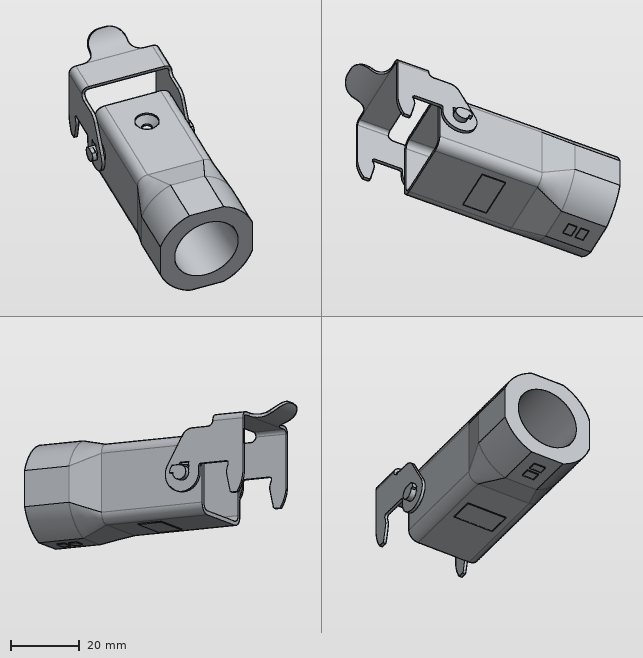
import cadquery as cq
import math


housing_front = 23.5
taper_start = 56.6
taper_end = 66.0
housing_rear = 80.6
front_half = 12.0
front_corner_radius = 3.2
rear_half = 14.5
rear_round_radius = 15.5
wall = 1.2
cavity_half = front_half - wall
cavity_corner_radius = front_corner_radius - wall
bore_radius = 10.0

dimple_x = 34.5
dimple_mouth_radius = 3.55
dimple_hole_radius = 1.6
dimple_rim_depth = 0.6
dimple_floor = 8.9
dimple_outer_top_radius = 4.6
dimple_outer_floor_radius = 2.9

pad_height = 0.3
pads = [
    (39.8, 47.4, 6.5, front_half),
    (70.0, 72.7, 1.9, rear_half),
    (73.9, 76.5, 1.9, rear_half),
]

pivot_x = 29.0
pin_radius = 2.2
overall_width = 32.0
pin_tip = overall_width / 2
key_radius = 3.15
key_thickness = 1.3
collar_outer_radius = 2.7
collar_waist_radius = 2.3
collar_base_radius = 2.9
collar_waist_y = 12.65
base_overlap = 0.4

sheet = 1.0
lever_half = 14.2
lever_inner = lever_half - sheet
bend_radius = 2.2
lever_front = 9.0
bridge_rear = 18.95
lever_top = 16.8
lever_bottom = -7.2
shoulder_z = 13.1
shoulder_radius = 3.7
step_radius = 1.6
eye_radius = 5.5
eye_slope = math.radians(30)
slot_top = 2.3
slot_corner_radius = 0.8
key_hole_top = 3.2
key_hole_flat_end = 0.5

tab_half = 6.0
tab_root_radius = 3.95
tab_tip_radius = 5.0
tab_outer_radius = 11.1


def rounded_square(x, half, radius):
    """Square with rounded corners in a plane across the X axis."""
    flat = half - radius
    mid = flat + radius * math.sqrt(0.5)
    return (
        cq.Workplane("YZ", origin=(x, 0, 0))
        .moveTo(-flat, half)
        .lineTo(flat, half)
        .threePointArc((mid, mid), (half, flat))
        .lineTo(half, -flat)
        .threePointArc((mid, -mid), (flat, -half))
        .lineTo(-flat, -half)
        .threePointArc((-mid, -mid), (-half, -flat))
        .lineTo(-half, flat)
        .threePointArc((-mid, mid), (-flat, half))
        .close()
    )


def flatted_circle(x, half, radius):
    """Circle with four flats in a plane across the X axis."""
    flat = math.sqrt(radius**2 - half**2)
    mid = radius * math.sqrt(0.5)
    return (
        cq.Workplane("YZ", origin=(x, 0, 0))
        .moveTo(-flat, half)
        .lineTo(flat, half)
        .threePointArc((mid, mid), (half, flat))
        .lineTo(half, -flat)
        .threePointArc((mid, -mid), (flat, -half))
        .lineTo(-flat, -half)
        .threePointArc((-mid, -mid), (-half, -flat))
        .lineTo(-half, flat)
        .threePointArc((-mid, mid), (-flat, half))
        .close()
    )


def make_housing():
    front = rounded_square(housing_front, front_half, front_corner_radius)
    front = front.extrude(taper_start - housing_front)
    rear = flatted_circle(taper_end, rear_half, rear_round_radius)
    rear = rear.extrude(housing_rear - taper_end)

    small_end = rounded_square(taper_start, front_half, front_corner_radius).wire().val()
    large_end = flatted_circle(taper_end, rear_half, rear_round_radius).wire().val()
    taper = cq.Workplane(cq.Solid.makeLoft([small_end, large_end], True))

    cavity = rounded_square(housing_front, cavity_half, cavity_corner_radius)
    cavity = cavity.extrude(taper_start - housing_front)
    bore = cq.Workplane("YZ", origin=(housing_front, 0, 0)).circle(bore_radius)
    bore = bore.extrude(housing_rear - housing_front)
    return front.union(taper).union(rear).cut(cavity).cut(bore)


def revolved(profile, x):
    """Turn a (radius, z) profile about the vertical line through x."""
    outline = cq.Workplane("XZ", origin=(x, 0, 0)).polyline(profile).close()
    return outline.revolve(360, (0, 0, 0), (0, 1, 0))


def add_dimple(housing):
    cone = revolved(
        [
            (0, dimple_floor),
            (dimple_outer_floor_radius, dimple_floor),
            (dimple_outer_top_radius, cavity_half),
            (dimple_outer_top_radius, front_half),
            (0, front_half),
        ],
        dimple_x,
    )
    cone_mouth = front_half - dimple_rim_depth
    cone_foot = cone_mouth - (dimple_mouth_radius - dimple_hole_radius)
    hole = revolved(
        [
            (0, dimple_floor),
            (dimple_hole_radius, dimple_floor),
            (dimple_hole_radius, cone_foot),
            (dimple_mouth_radius, cone_mouth),
            (dimple_mouth_radius, front_half),
            (0, front_half),
        ],
        dimple_x,
    )
    return housing.union(cone).cut(hole)


def make_pad(start, end, half_width, level):
    """Flat pad standing out of the underside, rooted halfway into the wall."""
    root = wall / 2
    size = (end - start, 2 * half_width, root + pad_height)
    pad = cq.Workplane("XY").box(*size, centered=(False, True, False))
    return pad.translate((start, 0, -level - pad_height))


def make_side_plates():
    """Both lever legs as one prism spanning the full lever width."""
    slope_x = pivot_x + eye_radius * math.cos(eye_slope)
    slope_z = eye_radius * math.sin(eye_slope)
    shoulder_x = slope_x - (shoulder_z - slope_z) * math.tan(eye_slope)
    trim = shoulder_radius * math.tan((math.pi / 2 - eye_slope) / 2)
    shoulder_end = (
        shoulder_x + trim * math.sin(eye_slope),
        shoulder_z - trim * math.cos(eye_slope),
    )
    shoulder_mid = (
        shoulder_x - trim + shoulder_radius * math.sin(eye_slope),
        shoulder_z - shoulder_radius * (1 - math.cos(eye_slope)),
    )
    step_mid = step_radius * (1 - math.sqrt(0.5))
    slot_mid = slot_corner_radius * (1 - math.sqrt(0.5))
    eye_left = pivot_x - eye_radius

    neck = (13.9, 1.2)
    neck_mid = (neck[0] + slot_mid, slot_top - slot_mid)
    shoulder_bulge = (14.35, -0.3)
    belly = (14.4, -1.1)
    rear_flank_mid = (13.9, -3.95)
    rear_flank_end = (13.3, -6.4)
    tip_corner_mid = (13.1, -6.9)
    tip_rear = (12.8, lever_bottom)
    tip_front = (11.0, lever_bottom)
    front_flank_mid = (9.8, -5.0)
    front_flank_top = (lever_front, -1.6)

    return (
        cq.Workplane("XZ", origin=(0, lever_half, 0))
        .moveTo(lever_front, lever_top)
        .lineTo(bridge_rear, lever_top)
        .lineTo(bridge_rear, shoulder_z + step_radius)
        .threePointArc(
            (bridge_rear + step_mid, shoulder_z + step_mid),
            (bridge_rear + step_radius, shoulder_z),
        )
        .lineTo(shoulder_x - trim, shoulder_z)
        .threePointArc(shoulder_mid, shoulder_end)
        .lineTo(slope_x, slope_z)
        .threePointArc((pivot_x, -eye_radius), (eye_left, 0))
        .lineTo(eye_left, slot_top - slot_corner_radius)
        .threePointArc(
            (eye_left - slot_mid, slot_top - slot_mid),
            (eye_left - slot_corner_radius, slot_top),
        )
        .lineTo(neck[0] + slot_corner_radius, slot_top)
        .threePointArc(neck_mid, neck)
        .threePointArc(shoulder_bulge, belly)
        .threePointArc(rear_flank_mid, rear_flank_end)
        .threePointArc(tip_corner_mid, tip_rear)
        .lineTo(*tip_front)
        .threePointArc(front_flank_mid, front_flank_top)
        .close()
        .extrude(2 * lever_half)
    )


def make_thumb_tab():
    """Curled tab with rounded tip corners and filleted roots."""
    inner_radius = tab_outer_radius - sheet
    center_z = lever_top - sheet + tab_outer_radius
    tip_angle = math.asin(lever_front / tab_outer_radius)

    def arc_point(radius, angle):
        return (
            lever_front - radius * math.sin(angle),
            center_z - radius * math.cos(angle),
        )

    def curled_sheet(half_width):
        return (
            cq.Workplane("XZ", origin=(0, half_width, 0))
            .moveTo(lever_front, lever_top - sheet)
            .threePointArc(
                arc_point(tab_outer_radius, tip_angle / 2),
                arc_point(tab_outer_radius, tip_angle),
            )
            .lineTo(*arc_point(inner_radius, tip_angle))
            .threePointArc(arc_point(inner_radius, tip_angle / 2), (lever_front, lever_top))
            .close()
            .extrude(2 * half_width)
        )

    tip_x, tip_z = arc_point(tab_outer_radius, tip_angle)
    tip_plane = cq.Plane(
        origin=(tip_x, 0, tip_z),
        xDir=(math.cos(tip_angle), 0, -math.sin(tip_angle)),
        normal=(math.sin(tip_angle), 0, math.cos(tip_angle)),
    )
    tip_mid = tab_tip_radius * (1 - math.sqrt(0.5))
    tip_flat = tab_half - tab_tip_radius
    tip_outline = (
        cq.Workplane(tip_plane)
        .moveTo(2 * lever_front, -tab_half)
        .lineTo(tab_tip_radius, -tab_half)
        .threePointArc((tip_mid, tip_mid - tab_half), (0, -tip_flat))
        .lineTo(0, tip_flat)
        .threePointArc((tip_mid, tab_half - tip_mid), (tab_tip_radius, tab_half))
        .lineTo(2 * lever_front, tab_half)
        .close()
        .extrude(lever_top, both=True)
    )
    tab = curled_sheet(tab_half).intersect(tip_outline)

    root_half = tab_half + tab_root_radius
    root_front = lever_front - tab_root_radius
    root_mid = tab_root_radius * math.sqrt(0.5)
    root = (
        cq.Workplane("XY")
        .moveTo(lever_front, -root_half)
        .threePointArc((root_front + root_mid, -root_half + root_mid), (root_front, -tab_half))
        .lineTo(root_front, tab_half)
        .threePointArc((root_front + root_mid, root_half - root_mid), (lever_front, root_half))
        .close()
        .extrude(2 * lever_top)
    )
    return tab.union(curled_sheet(root_half).intersect(root))


def make_lever():
    width = 2 * lever_half
    height = lever_top - lever_bottom
    length = pivot_x + eye_radius - lever_front
    block = cq.Workplane("XY").box(length, width, height, centered=(False, True, False))
    block = block.edges("|X and >Z").fillet(bend_radius)
    block = block.translate((lever_front, 0, lever_bottom))
    space = cq.Workplane("XY")
    space = space.box(length, 2 * lever_inner, height - sheet, centered=(False, True, False))
    space = space.edges("|X and >Z").fillet(bend_radius - sheet)
    space = space.translate((lever_front, 0, lever_bottom))
    channel = block.cut(space).intersect(make_side_plates())

    key_hole = (
        cq.Workplane("XZ", origin=(pivot_x, lever_half, 0))
        .moveTo(-pin_radius, 0)
        .lineTo(-pin_radius, key_hole_top)
        .lineTo(key_hole_flat_end, key_hole_top)
        .lineTo(pin_radius, key_hole_top - (pin_radius - key_hole_flat_end))
        .lineTo(pin_radius, 0)
        .threePointArc((0, -pin_radius), (-pin_radius, 0))
        .close()
        .extrude(width)
    )
    return channel.cut(key_hole).union(make_thumb_tab())


def make_front_pin():
    """Pin on the -Y side: waisted collar, shank and a quarter key at the tip."""
    base = front_half - base_overlap
    collar = (
        cq.Workplane("XY")
        .polyline(
            [
                (0, -base),
                (collar_base_radius, -base),
                (collar_base_radius, -front_half),
                (collar_waist_radius, -collar_waist_y),
                (collar_outer_radius, -lever_inner),
                (0, -lever_inner),
            ]
        )
        .close()
        .revolve(360, (0, 0, 0), (0, 1, 0))
    )
    shank = cq.Workplane("XZ", origin=(0, -base, 0)).circle(pin_radius).extrude(pin_tip - base)
    key_plane = cq.Workplane("XZ", origin=(0, key_thickness - pin_tip, 0))
    key = key_plane.circle(key_radius).extrude(key_thickness)
    quarter = key_plane.rect(key_radius, pin_radius, centered=False).extrude(key_thickness)
    return collar.union(shank).union(key.intersect(quarter)).translate((pivot_x, 0, 0))


result = add_dimple(make_housing())
for pad_start, pad_end, pad_half_width, pad_level in pads:
    result = result.union(make_pad(pad_start, pad_end, pad_half_width, pad_level))

front_pin = make_front_pin()
result = result.union(make_lever()).union(front_pin).union(front_pin.mirror("XZ"))